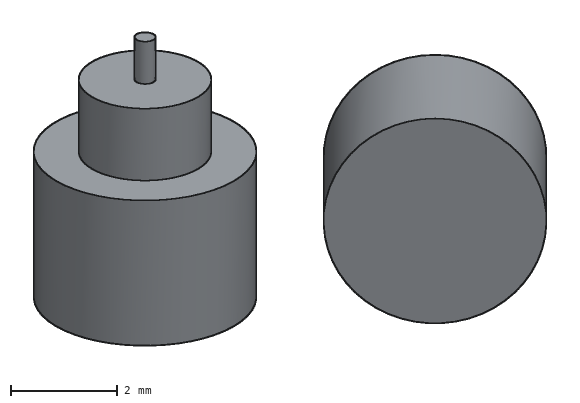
import cadquery as cq

total_height = 5.45
body_diameter = 4.2
body_height = 3.05
shoulder_diameter = 2.5
shoulder_height = 1.51
disc_diameter = 1.95
pin_diameter = 0.4

shoulder_top = body_height + shoulder_height
pin_height = total_height - shoulder_top


def cylinder(diameter, bottom, height):
    """Upright cylinder on the Z axis, starting at the given level."""
    base = cq.Workplane("XY").workplane(offset=bottom)
    return base.circle(diameter / 2).extrude(height)


body = cylinder(body_diameter, 0, body_height)
disc = cylinder(disc_diameter, body_height, shoulder_height)
collar = cylinder(shoulder_diameter, body_height, shoulder_height).cut(disc)
pin = cylinder(pin_diameter, shoulder_top, pin_height)

result = body.union(collar, clean=False).union(disc, clean=False).union(pin, clean=False)